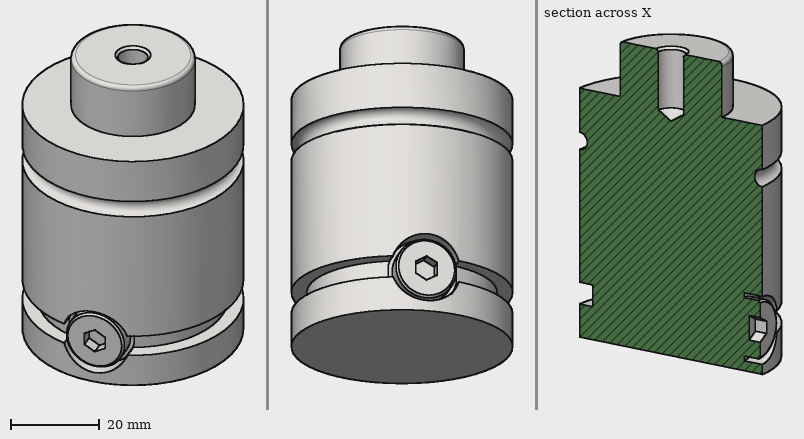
import cadquery as cq
import math

total_height = 72.0
body_diameter = 50.0
body_radius = body_diameter / 2
body_height = 59.0
stud_diameter = 28.0
stud_edge_radius = 1.0

round_groove_radius = 2.0
round_groove_z = 46.45

square_groove_width = 5.05
square_groove_z = 10.45
square_groove_floor_diameter = 43.0

hole_diameter = 6.8
hole_mouth_diameter = 8.0
hole_depth = 14.4
drill_point_angle = 118.0

seat_diameter = 16.0
seat_depth = 5.0
plug_diameter = 14.0
plug_recess = 0.6
plug_chamfer = 0.5
socket_across_flats = 5.0
socket_depth = 3.0


def disc_y(diameter, y_inner, y_outer):
    """Cylinder along Y at plug height, running outward from y_inner to y_outer."""
    return (
        cq.Workplane("XZ", origin=(0, y_inner, square_groove_z))
        .circle(diameter / 2)
        .extrude(y_inner - y_outer)
    )


def make_body():
    body = cq.Workplane("XY").circle(body_radius).extrude(body_height)
    stud = (
        cq.Workplane("XY", origin=(0, 0, body_height))
        .circle(stud_diameter / 2)
        .extrude(total_height - body_height)
        .faces(">Z").edges().fillet(stud_edge_radius)
    )
    return body.union(stud)


def make_round_groove():
    return (
        cq.Workplane("XZ")
        .center(body_radius, round_groove_z)
        .circle(round_groove_radius)
        .revolve(360, (-body_radius, 0), (-body_radius, 1))
    )


def make_square_groove():
    return (
        cq.Workplane("XY", origin=(0, 0, square_groove_z - square_groove_width / 2))
        .circle(body_radius)
        .circle(square_groove_floor_diameter / 2)
        .extrude(square_groove_width)
    )


def make_drilled_hole():
    radius = hole_diameter / 2
    mouth_radius = hole_mouth_diameter / 2
    bottom_z = total_height - hole_depth
    tip_z = bottom_z - radius / math.tan(math.radians(drill_point_angle / 2))
    countersink_z = total_height - (mouth_radius - radius)
    return (
        cq.Workplane("XZ")
        .moveTo(0, tip_z)
        .lineTo(radius, bottom_z)
        .lineTo(radius, countersink_z)
        .lineTo(mouth_radius, total_height)
        .lineTo(0, total_height)
        .close()
        .revolve(360, (0, 0), (0, 1))
    )


def add_plug(body):
    seat_y = seat_depth - body_radius
    face_y = plug_recess - body_radius
    body = body.cut(disc_y(seat_diameter, seat_y, -body_radius))
    plug = disc_y(plug_diameter, seat_y, face_y).faces("<Y").edges().chamfer(plug_chamfer)
    socket = (
        cq.Workplane("XZ", origin=(0, face_y, square_groove_z))
        .transformed(rotate=(0, 0, 90))
        .polygon(6, socket_across_flats / math.cos(math.pi / 6))
        .extrude(-socket_depth)
    )
    return body.union(plug).cut(socket)


grooved_body = make_body().cut(make_round_groove()).cut(make_square_groove())
result = add_plug(grooved_body.cut(make_drilled_hole()))